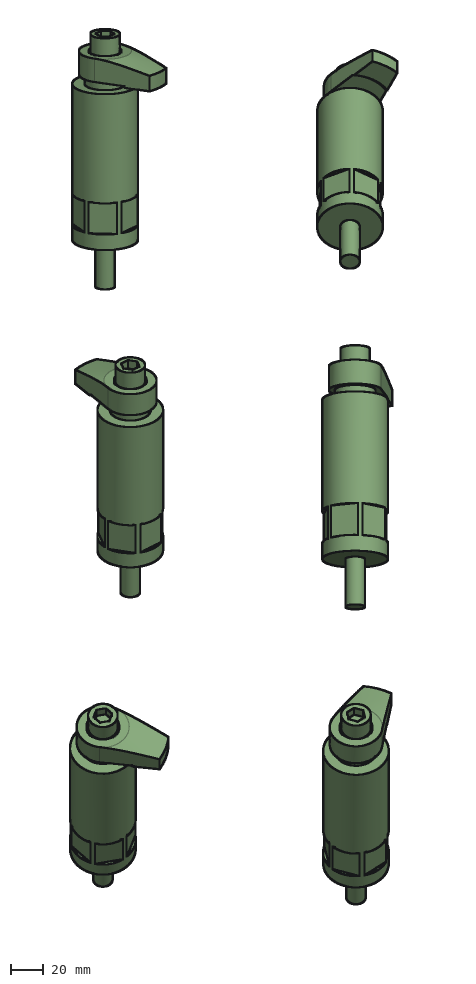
import cadquery as cq
import math

ROD_BOTTOM = -30.0
FLATS_BOTTOM = 10.0
FLATS_TOP = 30.0
HOUSING_TOP = 100.0
NECK_TOP = 106.0
HUB_TOP = 121.0
SCREW_TOP = 132.0

HOUSING_RADIUS = 20.0
NECK_RADIUS = 12.5
FLAT_COUNT = 6
FLAT_DISTANCE = 18.0

ROD_RADIUS = 6.0
HEAD_RADIUS = 9.0
SOCKET_ACROSS_FLATS = 10.0
SOCKET_SIDES = 6
SOCKET_DEPTH = 6.0

HUB_RADIUS = 16.0
RECESS_RADIUS = 10.0
RECESS_DEPTH = 1.0
TIP_RADIUS = 40.0
TIP_HALF_WIDTH = 9.0
TIP_TOP = 115.0
PAD_RAMP_START = 25.0
PAD_RAMP_END = 26.0
PAD_DROP = 1.0


def cylinder(radius, bottom, top):
    return cq.Workplane("XY").workplane(offset=bottom).circle(radius).extrude(top - bottom)


def make_housing():
    """Round housing with six wrench flats, a neck on top and a bore for the screw."""
    housing = cylinder(HOUSING_RADIUS, 0, HOUSING_TOP)
    ring = cylinder(HOUSING_RADIUS, FLATS_BOTTOM, FLATS_TOP)
    hexagon = (
        cq.Workplane("XY")
        .workplane(offset=FLATS_BOTTOM)
        .transformed(rotate=(0, 0, 180 / FLAT_COUNT))
        .polygon(FLAT_COUNT, 2 * FLAT_DISTANCE / math.cos(math.pi / FLAT_COUNT))
        .extrude(FLATS_TOP - FLATS_BOTTOM)
    )
    housing = housing.cut(ring.cut(hexagon))
    housing = housing.union(cylinder(NECK_RADIUS, HOUSING_TOP, NECK_TOP))
    return housing.cut(cylinder(ROD_RADIUS, 0, NECK_TOP))


def make_lever_arm():
    """Tapered arm with sides tangent to the hub, a conical top and a lowered pad under the tip."""
    tip_x = math.sqrt(TIP_RADIUS**2 - TIP_HALF_WIDTH**2)
    tangent_angle = math.atan2(TIP_HALF_WIDTH, tip_x) + math.acos(HUB_RADIUS / TIP_RADIUS)
    tangent_x = HUB_RADIUS * math.cos(tangent_angle)
    tangent_y = HUB_RADIUS * math.sin(tangent_angle)

    arm = (
        cq.Workplane("XY")
        .workplane(offset=NECK_TOP - PAD_DROP)
        .moveTo(tangent_x, -tangent_y)
        .lineTo(tip_x, -TIP_HALF_WIDTH)
        .threePointArc((TIP_RADIUS, 0), (tip_x, TIP_HALF_WIDTH))
        .lineTo(tangent_x, tangent_y)
        .close()
        .extrude(HUB_TOP - NECK_TOP + PAD_DROP)
    )
    envelope = (
        cq.Workplane("XZ")
        .moveTo(0, NECK_TOP)
        .lineTo(PAD_RAMP_START, NECK_TOP)
        .lineTo(PAD_RAMP_END, NECK_TOP - PAD_DROP)
        .lineTo(TIP_RADIUS, NECK_TOP - PAD_DROP)
        .lineTo(TIP_RADIUS, TIP_TOP)
        .lineTo(HUB_RADIUS, HUB_TOP)
        .lineTo(0, HUB_TOP)
        .close()
        .revolve(360, (0, 0), (0, 1))
    )
    return arm.intersect(envelope)


def make_lever():
    """Hub standing on the neck, joined to the arm, bored for the screw head and recessed around it."""
    lever = cylinder(HUB_RADIUS, NECK_TOP, HUB_TOP).union(make_lever_arm())
    lever = lever.cut(cylinder(HEAD_RADIUS, NECK_TOP, HUB_TOP))
    return lever.cut(cylinder(RECESS_RADIUS, HUB_TOP - RECESS_DEPTH, HUB_TOP))


def make_screw():
    """Socket head screw whose head rests on the neck and whose rod passes through the housing."""
    screw = cylinder(ROD_RADIUS, ROD_BOTTOM, NECK_TOP).union(cylinder(HEAD_RADIUS, NECK_TOP, SCREW_TOP))
    socket = (
        cq.Workplane("XY")
        .workplane(offset=SCREW_TOP - SOCKET_DEPTH)
        .transformed(rotate=(0, 0, 180 / SOCKET_SIDES))
        .polygon(SOCKET_SIDES, SOCKET_ACROSS_FLATS / math.cos(math.pi / SOCKET_SIDES))
        .extrude(SOCKET_DEPTH)
    )
    return screw.cut(socket)


housing = make_housing()
lever = make_lever()
screw = make_screw()

result = cq.Compound.makeCompound([housing.val(), lever.val(), screw.val()])